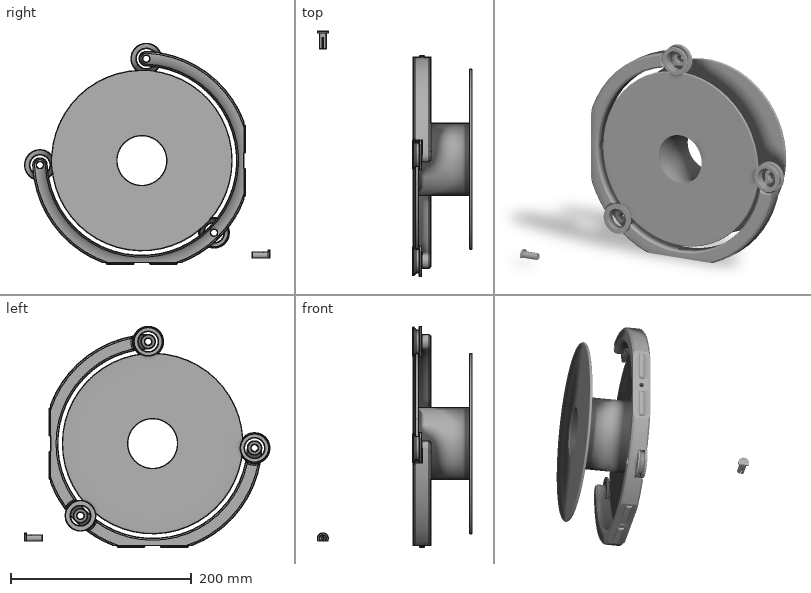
import cadquery as cq
import math


spool_radius = 100.0
spool_width = 62.6
spool_front = 3.6
flange_thickness = 3.0
flange_rounding = 1.4
hub_diameter = 80.0
spool_bore_diameter = 55.0

groove_diameter = 26.0
front_rim_diameter = 32.0
back_rim_diameter = 34.0
bearing_bore_diameter = 22.2
roller_width = 10.0
front_rim_width = 1.5
groove_start = 4.2
back_rim_start = 7.3
rim_chamfer = 0.6
front_chamfer = 0.5
bore_chamfer = 0.5

roller_orbit = spool_radius + groove_diameter / 2
roller_spread = 132.5
corner_angle = -45.0
roller_angles = [corner_angle + turn * roller_spread for turn in (-1, 0, 1)]

ring_front = 0.8
ring_back = 20.4
ring_thickness = ring_back - ring_front
ring_end_diameter = 16.0
ring_chamfer = 2.0
flat_distance = roller_orbit
pocket_radius = 17.5
pocket_depth = 10.4
pocket_floor = ring_front + pocket_depth
pocket_chamfer = 1.6
boss_diameter = ring_end_diameter
boss_height = 1.0
boss_chamfer = 0.5
pin_hole_diameter = 7.5
pin_hole_chamfer = 0.5
mount_hole_diameter = 5.2
counterbore_diameter = 11.5
counterbore_depth = 3.0
tab_length = 31.0
tab_width = 6.0
tab_height = 2.0
tab_chamfer = 1.0
tab_offset = 24.0

pin_diameter = 7.8
pin_head_diameter = 12.2
pin_head_thickness = 2.0
pin_length = 19.8
pin_bore_diameter = 3.2
pin_tip_chamfer = 0.4
pin_flat_depth = 3.0
slot_width = 1.0
slot_start = 7.0
slot_length = pin_length - slot_start
pin_axis_x = -99.19
pin_axis_z = -105.0
pin_head_y = 141.8


def polar_point(radius, angle):
    """Y and Z of a point round the X axis, the angle measured from +Y toward +Z."""
    turn = math.radians(angle)
    return radius * math.cos(turn), radius * math.sin(turn)


def orbit_point(angle):
    """Y and Z of a roller centre."""
    return polar_point(roller_orbit, angle)


def x_cylinder(diameter, start, end, y=0.0, z=0.0):
    """Cylinder along X between two X positions."""
    return (
        cq.Workplane("YZ", origin=(start, y, z))
        .circle(diameter / 2)
        .extrude(end - start)
    )


def make_spool():
    flange = x_cylinder(2 * spool_radius, 0, flange_thickness).edges().fillet(flange_rounding)
    spool_back = spool_front + spool_width
    spool = x_cylinder(hub_diameter, spool_front, spool_back)
    for flange_front in (spool_front, spool_back - flange_thickness):
        spool = spool.union(flange.translate((flange_front, 0, 0)))
    return spool.cut(x_cylinder(spool_bore_diameter, spool_front, spool_back))


def make_roller(angle):
    bore_radius = bearing_bore_diameter / 2
    back_radius = back_rim_diameter / 2
    front_radius = front_rim_diameter / 2
    groove_radius = groove_diameter / 2
    profile = (
        cq.Workplane("XY")
        .moveTo(0, bore_radius + bore_chamfer)
        .lineTo(0, front_radius - front_chamfer)
        .lineTo(front_chamfer, front_radius)
        .lineTo(front_rim_width, front_radius)
        .lineTo(groove_start, groove_radius)
        .lineTo(back_rim_start, groove_radius)
        .lineTo(back_rim_start, back_radius - rim_chamfer)
        .lineTo(back_rim_start + rim_chamfer, back_radius)
        .lineTo(roller_width, back_radius)
        .lineTo(roller_width, bore_radius + bore_chamfer)
        .lineTo(roller_width - bore_chamfer, bore_radius)
        .lineTo(bore_chamfer, bore_radius)
        .close()
    )
    roller = profile.revolve(360, (0, 0, 0), (1, 0, 0))
    if angle == corner_angle:
        roller = roller.mirror("YZ").translate((ring_front + roller_width, 0, 0))
    y, z = orbit_point(angle)
    return roller.translate((0, y, z))


def ring_body():
    """Arc-shaped bar with round ends, chamfered along its front and back edges."""
    half_width = ring_end_diameter / 2
    inner = roller_orbit - half_width
    outer = roller_orbit + half_width
    first, middle, last = roller_angles

    def end_tip(angle, side):
        y, z = orbit_point(angle)
        step_y, step_z = polar_point(half_width, angle + side * 90)
        return y + step_y, z + step_z

    return (
        cq.Workplane("YZ", origin=(ring_front, 0, 0))
        .moveTo(*polar_point(outer, first))
        .threePointArc(polar_point(outer, middle), polar_point(outer, last))
        .threePointArc(end_tip(last, 1), polar_point(inner, last))
        .threePointArc(polar_point(inner, middle), polar_point(inner, first))
        .threePointArc(end_tip(first, -1), polar_point(outer, first))
        .close()
        .extrude(ring_thickness)
        .faces("<X or >X")
        .chamfer(ring_chamfer)
    )


def x_cone(start_radius, end_radius, start, y, z):
    """45-degree cone frustum pointing to +X, for chamfering a round edge."""
    return cq.Workplane(
        cq.Solid.makeCone(
            start_radius,
            end_radius,
            abs(start_radius - end_radius),
            pnt=cq.Vector(start, y, z),
            dir=cq.Vector(1, 0, 0),
        )
    )


def roller_seat(angle):
    """All that is cut for one roller: the pocket round its boss and the pin hole in the boss."""
    y, z = orbit_point(angle)
    boss_front = pocket_floor - boss_height
    hole_radius = pin_hole_diameter / 2
    pocket = x_cylinder(2 * pocket_radius, ring_front, pocket_floor, y, z)
    pocket_rim = x_cone(pocket_radius + pocket_chamfer, pocket_radius, ring_front, y, z)
    boss = x_cylinder(boss_diameter, boss_front, pocket_floor, y, z).faces("<X").chamfer(boss_chamfer)
    hole = x_cylinder(pin_hole_diameter, boss_front, ring_back, y, z)
    hole_rim = x_cone(hole_radius + pin_hole_chamfer, hole_radius, boss_front, y, z)
    return pocket.union(pocket_rim).cut(boss).union(hole).union(hole_rim)


def mounting_flat():
    """Material beyond the flat face at -Z, to be cut away."""
    depth = ring_end_diameter
    return cq.Workplane("XY").box(
        2 * ring_back, 2 * roller_orbit, depth, centered=(True, True, False)
    ).translate((ring_front, 0, -flat_distance - depth))


def mounting_hole():
    """Counterbored screw hole through the flat at -Z, its head on the inside of the ring."""
    hole_x = ring_front + ring_thickness / 2
    ring_inner = roller_orbit - ring_end_diameter / 2
    seat_z = -ring_inner - counterbore_depth
    seat = cq.Workplane("XY", origin=(hole_x, 0, seat_z))
    hole = seat.circle(mount_hole_diameter / 2).extrude(-ring_end_diameter)
    return hole.union(seat.circle(counterbore_diameter / 2).extrude(ring_end_diameter))


def slot_tabs():
    """Two raised tabs on the flat at -Z that key into a mounting slot."""
    tab = (
        cq.Workplane("XY")
        .box(tab_width, tab_length, tab_height, centered=(True, True, False))
        .faces(">Z")
        .chamfer(tab_chamfer)
        .rotate((0, 0, 0), (1, 0, 0), 180)
    )
    tabs = cq.Workplane()
    for side in (-1, 1):
        place = (ring_front + ring_thickness / 2, side * tab_offset, -flat_distance)
        tabs = tabs.add(tab.translate(place))
    return tabs.combine()


def make_ring():
    ring = ring_body()
    for angle in roller_angles:
        ring = ring.cut(roller_seat(angle))
    for turn in (0, 90):
        for cutter in (mounting_flat(), mounting_hole()):
            ring = ring.cut(cutter.rotate((0, 0, 0), (1, 0, 0), turn))
        ring = ring.union(slot_tabs().rotate((0, 0, 0), (1, 0, 0), turn))
    return ring


def make_pin():
    """Split pin with its head at +Y; one side is cut flat along the whole length."""
    plane = cq.Workplane("XZ")
    head = plane.circle(pin_head_diameter / 2).extrude(pin_head_thickness)
    shank = plane.circle(pin_diameter / 2).extrude(pin_length).faces("<Y").chamfer(pin_tip_chamfer)
    bore = plane.circle(pin_bore_diameter / 2).extrude(slot_length)
    slot = plane.rect(slot_width, pin_head_diameter).extrude(slot_length)
    to_slot = (0, -slot_start, 0)
    flat = cq.Workplane("XY").box(
        pin_head_diameter, 2 * pin_length, pin_head_diameter, centered=(True, True, False)
    ).translate((0, 0, -pin_flat_depth - pin_head_diameter))
    pin = head.union(shank).cut(bore.union(slot).translate(to_slot)).cut(flat)
    return pin.translate((pin_axis_x, pin_head_y, pin_axis_z))


spool = make_spool()
ring = make_ring()
rollers = [make_roller(angle) for angle in roller_angles]
pin = make_pin()

result = cq.Compound.makeCompound(
    [spool.val(), ring.val(), *[roller.val() for roller in rollers], pin.val()]
)